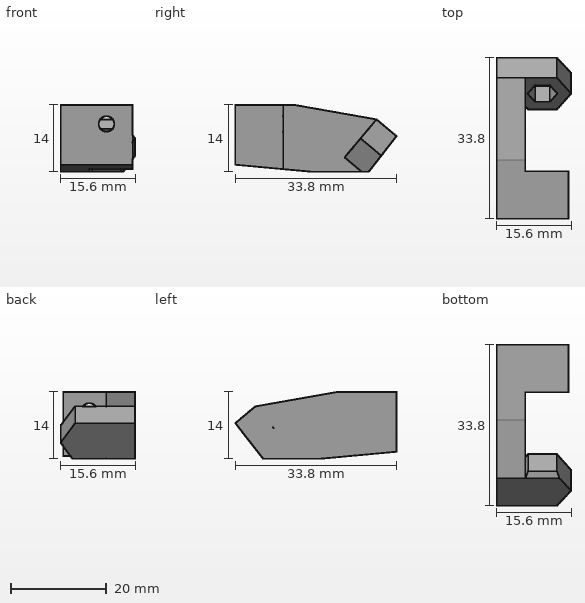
import cadquery as cq
import math

length = 33.75
height = 14.0
front_lift = 1.45
top_knee_y = 12.4
bottom_knee_y = 15.73
back_z = 7.45
heel_y = 27.95

arm_width = 6.0
block_right = 15.05
overall_width = 15.6

block_depth = 10.0
bolt_diameter = 3.25
bolt_z = 10.0

head_tilt = 40
head_thickness = 5.47
head_radius = 6.0
pocket_radius = 3.1
pocket_depth = 4.25
bridge_height = 9.0

axis_x = overall_width - head_radius
head_apothem = head_radius * math.cos(math.pi / 6)
tilt_sin = math.sin(math.radians(head_tilt))
tilt_cos = math.cos(math.radians(head_tilt))

shoulder_y = length - head_thickness * tilt_cos
shoulder_z = back_z + head_thickness * tilt_sin


def profile_slab(x_start, x_end):
    """Side profile extruded along X between two positions."""
    outline = [
        (0, front_lift),
        (0, height),
        (top_knee_y, height),
        (shoulder_y, shoulder_z),
        (length, back_z),
        (heel_y, 0),
        (bottom_knee_y, 0),
    ]
    return (
        cq.Workplane("YZ", origin=(x_start, 0, 0))
        .polyline(outline)
        .close()
        .extrude(x_end - x_start)
    )


def head_face():
    """Workplane on the front face of the head, facing backwards along the head axis."""
    centre_y = shoulder_y - head_apothem * tilt_sin
    centre_z = shoulder_z - head_apothem * tilt_cos
    return cq.Workplane(
        cq.Plane(
            origin=(axis_x, centre_y, centre_z),
            xDir=(1, 0, 0),
            normal=(0, tilt_cos, -tilt_sin),
        )
    )


def make_block():
    """Front block, cut from the profile so that its underside follows the arm."""
    front_zone = cq.Workplane("XY").box(block_right, block_depth, height, centered=False)
    return profile_slab(0, block_right).intersect(front_zone)


def make_head():
    """Hexagonal head and the bridge to the arm, trimmed by the profile at back and bottom."""
    hexagon = head_face().polygon(6, 2 * head_radius).extrude(length)
    bridge = (
        head_face()
        .moveTo(-axis_x, -head_apothem)
        .lineTo(-head_radius / 2, -head_apothem)
        .lineTo(-head_radius / 2, bridge_height - head_apothem)
        .lineTo(-axis_x, bridge_height - head_apothem)
        .close()
        .extrude(length)
    )
    return hexagon.union(bridge).intersect(profile_slab(0, overall_width))


def make_bolt_hole():
    """Round hole through the front block along Y."""
    return (
        cq.Workplane("XZ", origin=(axis_x, 0, bolt_z))
        .circle(bolt_diameter / 2)
        .extrude(-block_depth)
    )


nut_pocket = head_face().polygon(6, 2 * pocket_radius).extrude(pocket_depth)

result = (
    profile_slab(0, arm_width)
    .union(make_block())
    .union(make_head())
    .cut(nut_pocket)
    .cut(make_bolt_hole())
)